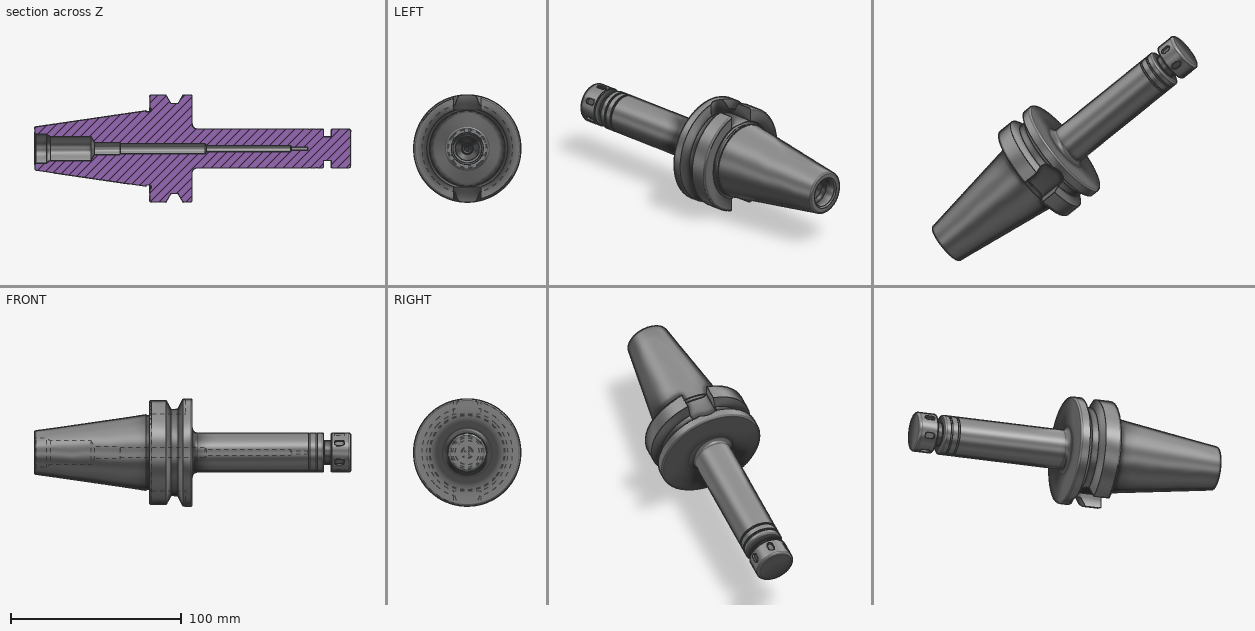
import cadquery as cq
import math

TAPER_LENGTH = 65.4
GAUGE_DIAMETER = 44.45
TAPER_RATIO = 7 / 24
TAPER_END_FILLET = 1.0

FLANGE_START = 2.0
FLANGE_END = 27.0
FLANGE_DIAMETER = 63.0
FLANGE_FILLET = 1.0
V_GROOVE_CENTER = 16.6
V_GROOVE_FLOOR_WIDTH = 4.0
V_GROOVE_FLOOR_DIAMETER = 53.0
V_GROOVE_HALF_ANGLE = 30.0

RELIEF_DIAMETER = 43.3
FACE_GROOVE_DIAMETER = 47.6
FACE_GROOVE_DEPTH = 1.0

KEYWAY_WIDTH = 16.1
KEYWAY_END = 23.0
KEYWAY_FLOOR_HEIGHT = 22.5

SHANK_DIAMETER = 23.0
SHANK_END = 104.0
SHANK_ROOT_FILLET = 3.0
SHANK_TIP_FILLET = 1.0
RING_GROOVE_STARTS = (95.0, 99.5)
RING_GROOVE_WIDTH = 1.0
RING_GROOVE_DEPTH = 0.2

NECK_DIAMETER = 14.0
NECK_COLLAR_DIAMETER = 14.25
NECK_COLLAR_LENGTH = 0.5
NUT_START = 108.4
NUT_END = 120.0
NUT_DIAMETER = 23.0
NUT_REAR_CHAMFER = 0.5
NUT_FRONT_FILLET = 1.5
NUT_SLOT_COUNT = 6
NUT_SLOT_LENGTH = 6.0
NUT_SLOT_WIDTH = 3.5
NUT_SLOT_DEPTH = 1.6
NUT_SLOT_CENTER = 113.2

MOUTH_DIAMETER = 18.8
PILOT_DIAMETER = 17.0
PILOT_DEPTH = 7.0
THREAD_CHAMFER_DIAMETER = 16.0
THREAD_DIAMETER = 14.0
THREAD_DEPTH = 33.0
CHAMFER_HALF_ANGLE = 45.0
THREAD_CHAMFER_HALF_ANGLE = 30.0
DRILL_HALF_ANGLE = 59.0
COOLANT_STEPS = (
    (7.0, 50.0),
    (5.75, 100.0),
    (3.5, 150.0),
    (1.7, 160.0),
)

CUT_CLEARANCE = 1.0


def cone_length(large_diameter, small_diameter, half_angle):
    """Axial length of a cone between two diameters."""
    return (large_diameter - small_diameter) / 2 / math.tan(math.radians(half_angle))


def cylinder(start, end, diameter):
    """Solid cylinder on the X axis."""
    return cq.Workplane("YZ", origin=(start, 0, 0)).circle(diameter / 2).extrude(end - start)


def revolve_about_x(points):
    """Revolve a half profile of (x, radius) points about the X axis."""
    return cq.Workplane("XY").polyline(points).close().revolve(360, (0, 0, 0), (1, 0, 0))


def make_taper():
    gauge_radius = GAUGE_DIAMETER / 2
    end_radius = gauge_radius - TAPER_LENGTH * TAPER_RATIO / 2
    taper = revolve_about_x([
        (-TAPER_LENGTH, 0),
        (-TAPER_LENGTH, end_radius),
        (0, gauge_radius),
        (0, 0),
    ])
    return taper.faces("<X").edges().fillet(TAPER_END_FILLET)


def make_flange():
    flange = cylinder(FLANGE_START, FLANGE_END, FLANGE_DIAMETER)
    flange = flange.edges().fillet(FLANGE_FILLET)
    flange = flange.cut(make_face_groove())
    return flange.union(cylinder(0, FLANGE_START, RELIEF_DIAMETER))


def make_face_groove():
    inner_radius = RELIEF_DIAMETER / 2
    outer_radius = FACE_GROOVE_DIAMETER / 2
    middle_radius = (inner_radius + outer_radius) / 2
    return (
        cq.Workplane("XY")
        .moveTo(FLANGE_START, inner_radius)
        .threePointArc((FLANGE_START + FACE_GROOVE_DEPTH, middle_radius), (FLANGE_START, outer_radius))
        .close()
        .revolve(360, (0, 0, 0), (1, 0, 0))
    )


def make_v_groove():
    floor_radius = V_GROOVE_FLOOR_DIAMETER / 2
    outer_radius = FLANGE_DIAMETER / 2 + CUT_CLEARANCE
    half_floor = V_GROOVE_FLOOR_WIDTH / 2
    half_top = half_floor + (outer_radius - floor_radius) * math.tan(math.radians(V_GROOVE_HALF_ANGLE))
    return revolve_about_x([
        (V_GROOVE_CENTER - half_floor, floor_radius),
        (V_GROOVE_CENTER + half_floor, floor_radius),
        (V_GROOVE_CENTER + half_top, outer_radius),
        (V_GROOVE_CENTER - half_top, outer_radius),
    ])


def make_keyway():
    height = FLANGE_DIAMETER / 2 - KEYWAY_FLOOR_HEIGHT + CUT_CLEARANCE
    straight_end = KEYWAY_END - KEYWAY_WIDTH / 2
    floor = cq.Workplane("XY", origin=(0, 0, KEYWAY_FLOOR_HEIGHT))
    straight = floor.center(straight_end / 2, 0).rect(straight_end, KEYWAY_WIDTH).extrude(height)
    rounded_end = floor.center(straight_end, 0).circle(KEYWAY_WIDTH / 2).extrude(height)
    return straight.union(rounded_end)


def make_shank():
    shank = cylinder(FLANGE_END, SHANK_END, SHANK_DIAMETER)
    shank = shank.faces(">X").edges().fillet(SHANK_TIP_FILLET)
    for start in RING_GROOVE_STARTS:
        ring = cylinder(start, start + RING_GROOVE_WIDTH, SHANK_DIAMETER + 2 * CUT_CLEARANCE)
        core = cylinder(start, start + RING_GROOVE_WIDTH, SHANK_DIAMETER - 2 * RING_GROOVE_DEPTH)
        shank = shank.cut(ring.cut(core))
    return shank.union(make_shank_root())


def make_shank_root():
    """Concave fillet blending the shank into the flange face."""
    radius = SHANK_DIAMETER / 2
    end = FLANGE_END + SHANK_ROOT_FILLET
    sagitta = SHANK_ROOT_FILLET * (1 - math.sqrt(0.5))
    return (
        cq.Workplane("XY")
        .moveTo(FLANGE_END, 0)
        .lineTo(FLANGE_END, radius + SHANK_ROOT_FILLET)
        .threePointArc((FLANGE_END + sagitta, radius + sagitta), (end, radius))
        .lineTo(end, 0)
        .close()
        .revolve(360, (0, 0, 0), (1, 0, 0))
    )


def make_nut():
    nut = cylinder(NUT_START, NUT_END, NUT_DIAMETER)
    nut = nut.faces("<X").edges().chamfer(NUT_REAR_CHAMFER)
    nut = nut.faces(">X").edges().fillet(NUT_FRONT_FILLET)
    slot = (
        cq.Workplane("XY", origin=(NUT_SLOT_CENTER, 0, NUT_DIAMETER / 2 - NUT_SLOT_DEPTH))
        .slot2D(NUT_SLOT_LENGTH, NUT_SLOT_WIDTH)
        .extrude(NUT_SLOT_DEPTH + CUT_CLEARANCE)
    )
    for index in range(NUT_SLOT_COUNT):
        nut = nut.cut(slot.rotate((0, 0, 0), (1, 0, 0), index * 360 / NUT_SLOT_COUNT))
    collar = cylinder(SHANK_END, SHANK_END + NECK_COLLAR_LENGTH, NECK_COLLAR_DIAMETER)
    return nut.union(cylinder(SHANK_END, NUT_START, NECK_DIAMETER)).union(collar)


def make_bore():
    mouth_end = cone_length(MOUTH_DIAMETER, PILOT_DIAMETER, CHAMFER_HALF_ANGLE)
    chamfer_start = PILOT_DEPTH + cone_length(PILOT_DIAMETER, THREAD_CHAMFER_DIAMETER, CHAMFER_HALF_ANGLE)
    thread_start = chamfer_start + cone_length(
        THREAD_CHAMFER_DIAMETER, THREAD_DIAMETER, THREAD_CHAMFER_HALF_ANGLE
    )
    points = [
        (0, 0),
        (0, MOUTH_DIAMETER / 2),
        (mouth_end, PILOT_DIAMETER / 2),
        (PILOT_DEPTH, PILOT_DIAMETER / 2),
        (chamfer_start, THREAD_CHAMFER_DIAMETER / 2),
        (thread_start, THREAD_DIAMETER / 2),
        (THREAD_DEPTH, THREAD_DIAMETER / 2),
    ]
    previous_diameter = THREAD_DIAMETER
    previous_depth = THREAD_DEPTH
    for diameter, depth in COOLANT_STEPS:
        cone_end = previous_depth + cone_length(previous_diameter, diameter, DRILL_HALF_ANGLE)
        points.append((cone_end, diameter / 2))
        points.append((depth, diameter / 2))
        previous_diameter = diameter
        previous_depth = depth
    points.append((previous_depth, 0))
    return revolve_about_x(points).translate((-TAPER_LENGTH, 0, 0))


keyway = make_keyway()
body = make_taper().union(make_flange()).union(make_shank()).union(make_nut())
body = body.cut(make_v_groove())
body = body.cut(keyway).cut(keyway.mirror("XY"))
result = body.cut(make_bore())